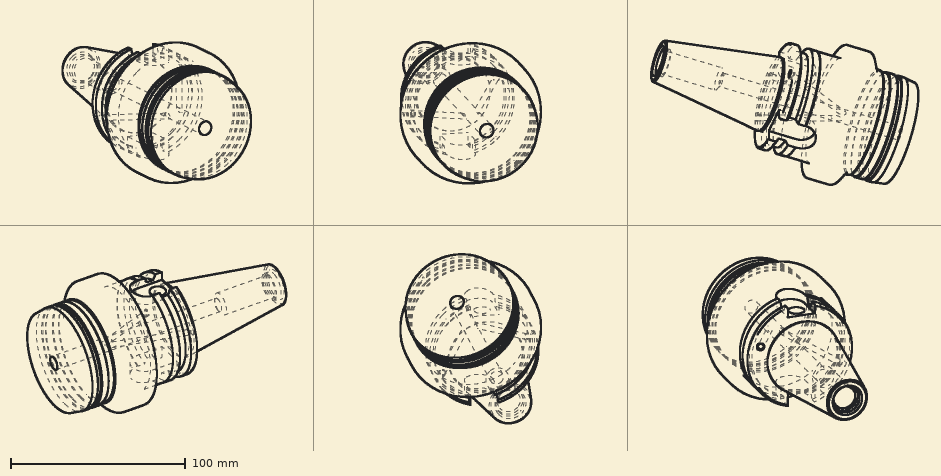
import cadquery as cq
import math

total_length = 148.8
shank_length = 68.1
gauge_radius = 44.5 / 2
taper_ratio = 7 / 24
shank_end_chamfer = 0.7
neck_radius = 43.6 / 2
neck_start = 69.5
neck_root_round = 0.5

flange_start = 71.3
flange_end = 87.3
flange_radius = 31.7
flange_edge_round = 0.9
groove_radius = 28.3
groove_top_start = 75.7
groove_top_end = 83.0
groove_wall_length = 1.6
flange_step_length = 0.5

body_radius = 31.5
collar_start = 103.2
collar_radius = 40.0
collar_edge_round = 0.9
collar_root_round = 0.9
collar_shoulder_start = 117.2
shoulder_angle = math.radians(60)
shoulder_top_round = 2.1
shoulder_root_round = 4.5

band_radius = 62.0 / 2
relief_bands = [(126.3, 130.9), (135.0, 138.0)]
band_entry_length = 0.7
band_exit_length = 0.5
tip_start = 141.6
tip_step = 0.1
tip_step_length = 0.5
tip_end_radius = 30.5
tip_round = 0.9

bore_mouth_radius = 9.0
counterbore_radius = 8.2
counterbore_depth = 4.6
mouth_chamfer_angle = math.radians(30)
thread_bore_radius = 6.7
thread_bore_depth = 37.2
through_radius = 4.0
drill_point_half_angle = math.radians(59)

slot_width = 16.7
slot_end = 96.4
upper_slot_floor = 25.0
lower_slot_floor = 22.8
dimple_x = 79.1
dimple_diameter = 9.5
dimple_half_angle = math.radians(59)

coolant_clock_angle = 20.0
coolant_offset = 26.9
coolant_tilt = math.radians(30)
coolant_mouth_diameter = 4.0
coolant_mouth_depth = 1.5
coolant_hole_diameter = 3.3


def make_body():
    """Revolve the outer outline about X."""
    shank_end_radius = gauge_radius - shank_length * taper_ratio / 2
    chamfered_end_radius = shank_end_radius - shank_end_chamfer

    sin_flank = math.sin(shoulder_angle)
    cos_flank = math.cos(shoulder_angle)
    sin_half = math.sin(shoulder_angle / 2)
    cos_half = math.cos(shoulder_angle / 2)
    flank_top_x = collar_shoulder_start + shoulder_top_round * sin_flank
    flank_top_r = collar_radius - shoulder_top_round * (1 - cos_flank)
    flank_root_r = body_radius + shoulder_root_round * (1 - cos_flank)
    flank_root_x = flank_top_x + (flank_top_r - flank_root_r) / math.tan(shoulder_angle)
    nose_start = flank_root_x + shoulder_root_round * sin_flank
    top_arc_mid = (
        collar_shoulder_start + shoulder_top_round * sin_half,
        collar_radius - shoulder_top_round * (1 - cos_half),
    )
    root_arc_mid = (
        nose_start - shoulder_root_round * sin_half,
        body_radius + shoulder_root_round * (1 - cos_half),
    )

    round_mid = 1 - math.sqrt(0.5)

    outline = (
        cq.Workplane("XY")
        .moveTo(0, 0)
        .lineTo(0, chamfered_end_radius)
        .lineTo(shank_end_chamfer, shank_end_radius + shank_end_chamfer * taper_ratio / 2)
        .lineTo(shank_length, gauge_radius)
        .lineTo(neck_start, neck_radius)
        .lineTo(flange_start - neck_root_round, neck_radius)
        .threePointArc(
            (flange_start - neck_root_round * round_mid, neck_radius + neck_root_round * round_mid),
            (flange_start, neck_radius + neck_root_round),
        )
        .lineTo(flange_start, flange_radius - flange_edge_round)
        .threePointArc(
            (flange_start + flange_edge_round * round_mid, flange_radius - flange_edge_round * round_mid),
            (flange_start + flange_edge_round, flange_radius),
        )
        .lineTo(groove_top_start, flange_radius)
        .lineTo(groove_top_start + groove_wall_length, groove_radius)
        .lineTo(groove_top_end - groove_wall_length, groove_radius)
        .lineTo(groove_top_end, flange_radius)
        .lineTo(flange_end, flange_radius)
        .lineTo(flange_end + flange_step_length, body_radius)
        .lineTo(collar_start - collar_root_round, body_radius)
        .threePointArc(
            (collar_start - collar_root_round * round_mid, body_radius + collar_root_round * round_mid),
            (collar_start, body_radius + collar_root_round),
        )
        .lineTo(collar_start, collar_radius - collar_edge_round)
        .threePointArc(
            (collar_start + collar_edge_round * round_mid, collar_radius - collar_edge_round * round_mid),
            (collar_start + collar_edge_round, collar_radius),
        )
        .lineTo(collar_shoulder_start, collar_radius)
        .threePointArc(top_arc_mid, (flank_top_x, flank_top_r))
        .lineTo(flank_root_x, flank_root_r)
        .threePointArc(root_arc_mid, (nose_start, body_radius))
    )
    for band_start, band_end in relief_bands:
        outline = (
            outline.lineTo(band_start, body_radius)
            .lineTo(band_start + band_entry_length, band_radius)
            .lineTo(band_end - band_exit_length, band_radius)
            .lineTo(band_end, body_radius)
        )
    outline = (
        outline.lineTo(tip_start, body_radius)
        .lineTo(tip_start + tip_step_length, body_radius - tip_step)
        .lineTo(total_length - tip_round, tip_end_radius)
        .threePointArc(
            (total_length - tip_round * round_mid, tip_end_radius - tip_round * round_mid),
            (total_length, tip_end_radius - tip_round),
        )
        .lineTo(total_length, 0)
        .close()
    )
    return outline.revolve(360, (0, 0, 0), (1, 0, 0))


def make_bore():
    """Stepped bore: chamfered counterbore, threaded section with drill point, through hole."""
    mouth_chamfer_depth = (bore_mouth_radius - counterbore_radius) / math.tan(mouth_chamfer_angle)
    drill_point_depth = (thread_bore_radius - through_radius) / math.tan(drill_point_half_angle)
    return (
        cq.Workplane("XY")
        .moveTo(0, 0)
        .lineTo(0, bore_mouth_radius)
        .lineTo(mouth_chamfer_depth, counterbore_radius)
        .lineTo(counterbore_depth, counterbore_radius)
        .lineTo(counterbore_depth, thread_bore_radius)
        .lineTo(thread_bore_depth, thread_bore_radius)
        .lineTo(thread_bore_depth + drill_point_depth, through_radius)
        .lineTo(total_length, through_radius)
        .lineTo(total_length, 0)
        .close()
        .revolve(360, (0, 0, 0), (1, 0, 0))
    )


def make_drive_slot(floor_height, side):
    """Round-ended slot cut from the flange face; side is +1 for the top and -1 for the bottom."""
    straight_end = slot_end - slot_width / 2
    return (
        cq.Workplane("XY")
        .workplane(offset=side * floor_height)
        .moveTo(flange_start, -slot_width / 2)
        .lineTo(straight_end, -slot_width / 2)
        .threePointArc((slot_end, 0), (straight_end, slot_width / 2))
        .lineTo(flange_start, slot_width / 2)
        .close()
        .extrude(side * (collar_radius - floor_height))
    )


def make_dimple():
    """Conical dimple in the floor of the upper slot."""
    dimple_radius = dimple_diameter / 2
    dimple_depth = dimple_radius / math.tan(dimple_half_angle)
    cone = cq.Solid.makeCone(
        dimple_radius, 0, dimple_depth, cq.Vector(dimple_x, 0, upper_slot_floor), cq.Vector(0, 0, -1)
    )
    return cq.Workplane(cone)


def make_coolant_hole(clock_angle):
    """Counterbored hole leaning inwards from the flange face until it meets the bore."""
    direction = cq.Vector(math.cos(coolant_tilt), -math.sin(coolant_tilt), 0)
    face_point = cq.Vector(flange_start, coolant_offset, 0)
    lead_in = coolant_mouth_diameter
    mouth = cq.Solid.makeCylinder(
        coolant_mouth_diameter / 2,
        lead_in + coolant_mouth_depth,
        face_point - direction * lead_in,
        direction,
    )
    length_to_axis = coolant_offset / math.sin(coolant_tilt)
    drill = cq.Solid.makeCylinder(coolant_hole_diameter / 2, length_to_axis, face_point, direction)
    hole = cq.Workplane(mouth).union(cq.Workplane(drill))
    return hole.rotate((0, 0, 0), (1, 0, 0), clock_angle)


result = make_body().cut(make_bore())
result = result.cut(make_drive_slot(upper_slot_floor, 1))
result = result.cut(make_drive_slot(lower_slot_floor, -1))
result = result.cut(make_dimple())
for half_turn in (0, 180):
    result = result.cut(make_coolant_hole(coolant_clock_angle + half_turn))